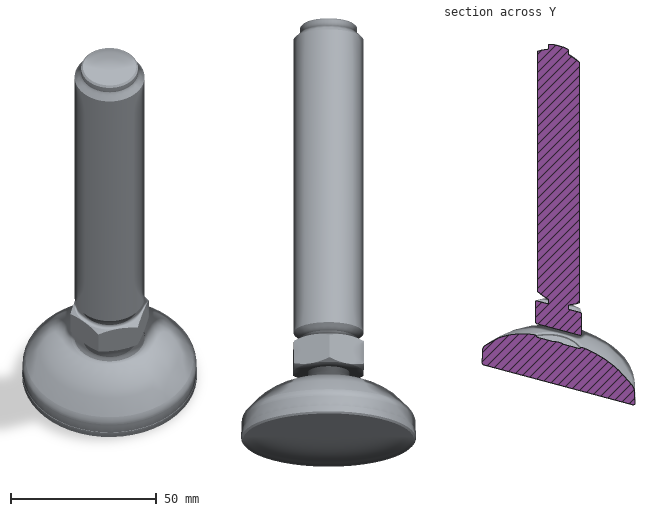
import cadquery as cq
import math

rim_top = 2.7
wall_top = 6.4
dome_start = 9.0
dome_top = 19.4
cone_top = 22.5
nut_bottom = 24.3
nut_top = 34.6
taper_bottom = 36.4
total_height = 149.2
tip_length = 2.7

foot_radius = 60.0 / 2
wall_inset = 0.1
floor_chamfer = 0.6
dome_edge_radius = 28.8
dome_mid_radius = 22.0
dome_mid_height = 15.5
shoulder_mid_radius = 29.5
shoulder_mid_height = 7.8
dome_top_radius = 13.1
socket_radius = 12.1
socket_depth = 0.7

thread_radius = 24.0 / 2
core_radius = 19.5 / 2
tip_chamfer = 0.6
neck_radius = 14.3 / 2
cone_radius = 18.4 / 2

nut_across_flats = 24.0
nut_chamfer_angle = 30.0


def make_foot():
    """Domed foot with a slightly wider base rim, a rounded shoulder and a shallow socket around the stem."""
    foot = (
        cq.Workplane("XZ")
        .lineTo(foot_radius - floor_chamfer, 0)
        .lineTo(foot_radius, floor_chamfer)
        .lineTo(foot_radius, rim_top)
        .lineTo(foot_radius - wall_inset, rim_top)
        .lineTo(foot_radius - wall_inset, wall_top)
        .threePointArc((shoulder_mid_radius, shoulder_mid_height), (dome_edge_radius, dome_start))
        .threePointArc((dome_mid_radius, dome_mid_height), (dome_top_radius, dome_top))
        .lineTo(0, dome_top)
        .close()
        .revolve(360, (0, 0), (0, 1))
    )
    socket = (
        cq.Workplane("XY")
        .workplane(offset=dome_top - socket_depth)
        .circle(socket_radius)
        .extrude(socket_depth)
    )
    return foot.cut(socket)


def make_stem():
    """Turned stem: flared base, neck, undercut, threaded length and reduced tip."""
    thread_taper = thread_radius - core_radius
    tip_bottom = total_height - tip_length
    return (
        cq.Workplane("XZ")
        .moveTo(0, rim_top)
        .lineTo(cone_radius, rim_top)
        .lineTo(cone_radius, dome_top - socket_depth)
        .lineTo(neck_radius, cone_top)
        .lineTo(neck_radius, nut_bottom)
        .lineTo(core_radius, nut_bottom)
        .lineTo(core_radius, taper_bottom)
        .lineTo(thread_radius, taper_bottom + thread_taper)
        .lineTo(thread_radius, tip_bottom - thread_taper)
        .lineTo(core_radius, tip_bottom)
        .lineTo(core_radius, total_height - tip_chamfer)
        .lineTo(core_radius - tip_chamfer, total_height)
        .lineTo(0, total_height)
        .close()
        .revolve(360, (0, 0), (0, 1))
    )


def make_nut():
    """Hexagon with corners on the X axis, chamfered by a cone at both ends."""
    corner_radius = nut_across_flats / 2 / math.cos(math.pi / 6)
    face_radius = nut_across_flats / 2
    corner_drop = (corner_radius - face_radius) * math.tan(math.radians(nut_chamfer_angle))
    hexagon = (
        cq.Workplane("XY")
        .workplane(offset=nut_bottom)
        .polygon(6, 2 * corner_radius)
        .extrude(nut_top - nut_bottom)
    )
    envelope = (
        cq.Workplane("XZ")
        .moveTo(0, nut_bottom)
        .lineTo(face_radius, nut_bottom)
        .lineTo(corner_radius, nut_bottom + corner_drop)
        .lineTo(corner_radius, nut_top - corner_drop)
        .lineTo(face_radius, nut_top)
        .lineTo(0, nut_top)
        .close()
        .revolve(360, (0, 0), (0, 1))
    )
    return hexagon.intersect(envelope)


result = make_foot().union(make_stem()).union(make_nut())